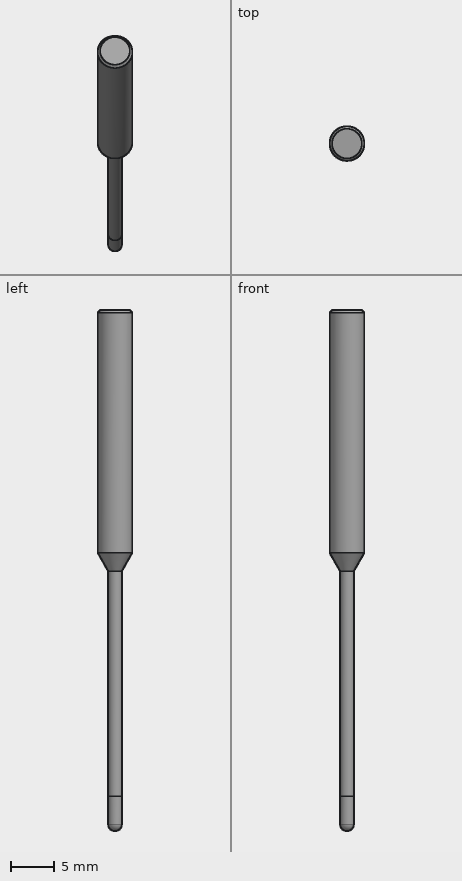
import cadquery as cq
import math

total_length = 60.0
shank_radius = 2.01
shank_bottom = 32.05
chamfer = 0.3
neck_top = 29.95
tip_radius = 0.81
neck_radius = tip_radius
tip_length = 4.0


def make_holder():
    """Chamfered shank, tapering down to a slender neck that ends on the tip."""
    profile = (
        cq.Workplane("XZ")
        .moveTo(0, tip_length)
        .lineTo(neck_radius, tip_length)
        .lineTo(neck_radius, neck_top)
        .lineTo(shank_radius, shank_bottom)
        .lineTo(shank_radius, total_length - chamfer)
        .lineTo(shank_radius - chamfer, total_length)
        .lineTo(0, total_length)
        .close()
    )
    return profile.revolve(360, (0, 0, 0), (0, 1, 0))


def make_tip():
    """Cylindrical cutting tip with a hemispherical lower end at Z = 0."""
    arc_offset = tip_radius * math.sqrt(0.5)
    profile = (
        cq.Workplane("XZ")
        .moveTo(0, 0)
        .threePointArc((arc_offset, tip_radius - arc_offset), (tip_radius, tip_radius))
        .lineTo(tip_radius, tip_length)
        .lineTo(0, tip_length)
        .close()
    )
    return profile.revolve(360, (0, 0, 0), (0, 1, 0))


holder = make_holder()
tip = make_tip()

result = cq.Compound.makeCompound([holder.val(), tip.val()])